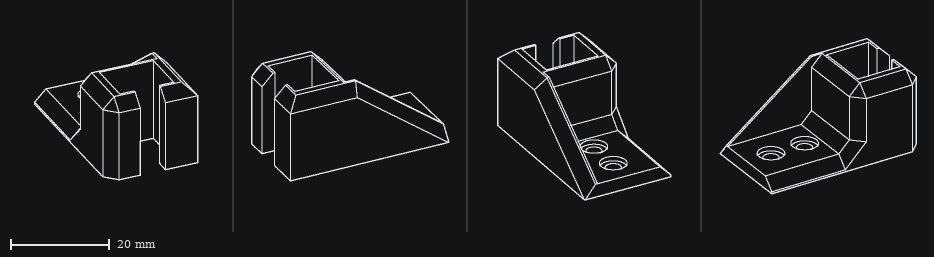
import cadquery as cq

length = 36.0
width = 20.0
height = 18.0
half_width = width / 2

base_thickness = 3.0
tower_front = 20.0
wall_inner_y = 7.0
bevel = 2.5

socket_start = 23.0
socket_length = 10.0
socket_width = 12.0
slot_width = 5.6

screw_positions = (6.0, 14.0)
screw_diameter = 3.3
head_diameter = 5.6
head_depth = 1.0


def extrude_profile(points, y_start, y_end):
    """Prism of an X-Z outline between two Y positions."""
    sketch = cq.Workplane("XZ", origin=(0, y_end, 0)).polyline(points).close()
    return sketch.extrude(y_end - y_start)


def edge_between(body, start, end):
    """The straight edge of the body that joins two points."""
    margin = 0.1
    low = [(a + b) / 2 - margin for a, b in zip(start, end)]
    high = [(a + b) / 2 + margin for a, b in zip(start, end)]
    return body.edges(cq.selectors.BoxSelector(low, high)).val()


def chamfer_edges(body, ends):
    """Bevel every edge named by its pair of end points."""
    edges = [edge_between(body, start, end) for start, end in ends]
    return body.newObject(edges).chamfer(bevel)


def foot_outline(inset):
    """X-Z outline of base plate and 45 degree foot ramp, with its upper side moved back by inset."""
    ramp_start = tower_front - bevel
    ramp_top = base_thickness + bevel
    return [
        (0, 0),
        (socket_start, 0),
        (socket_start, ramp_top),
        (tower_front + inset, ramp_top),
        (ramp_start, base_thickness - inset),
        (0, base_thickness - inset),
    ]


def make_foot():
    """Base plate and ramp up to the side wall, bevelled along the -Y side."""
    bevel_y = -half_width + bevel
    main = extrude_profile(foot_outline(0), bevel_y, wall_inner_y)
    bevelled_side = (
        cq.Workplane("XZ", origin=(0, bevel_y, 0))
        .polyline(foot_outline(0))
        .close()
        .workplane(offset=bevel)
        .polyline(foot_outline(bevel))
        .close()
        .loft(ruled=True)
    )
    return main.union(bevelled_side)


def make_tower():
    """Tower up to the side wall, bevelled around the top and down the two -Y corners."""
    outline = [(tower_front, 0), (length, 0), (length, height), (tower_front, height)]
    tower = extrude_profile(outline, -half_width, wall_inner_y)

    front_foot = (tower_front, -half_width, 0)
    front_top = (tower_front, -half_width, height)
    front_top_at_wall = (tower_front, wall_inner_y, height)
    back_foot = (length, -half_width, 0)
    back_top = (length, -half_width, height)
    back_top_at_wall = (length, wall_inner_y, height)
    return chamfer_edges(tower, [
        (front_foot, front_top),
        (back_foot, back_top),
        (front_top, back_top),
        (front_top, front_top_at_wall),
        (back_top, back_top_at_wall),
    ])


def make_side_wall():
    """Wall on the +Y side, sloping from the base end up to the tower top."""
    overrun = 10.0
    slope = (height - base_thickness) / tower_front
    slope_end_z = base_thickness - overrun * slope
    outline = [
        (-overrun, -overrun),
        (length, -overrun),
        (length, height),
        (tower_front, height),
        (-overrun, slope_end_z),
    ]
    wall = extrude_profile(outline, wall_inner_y, half_width)

    slope_end = (-overrun, half_width, slope_end_z)
    slope_top = (tower_front, half_width, height)
    back_top = (length, half_width, height)
    back_top_at_tower = (length, wall_inner_y, height)
    wall = chamfer_edges(wall, [
        (slope_end, slope_top),
        (slope_top, back_top),
        (back_top, back_top_at_tower),
    ])
    envelope = cq.Workplane("XY").box(length, width, height, centered=(False, True, False))
    return wall.intersect(envelope)


def make_socket():
    """Rectangular through socket together with its slot to the +X face."""
    socket = cq.Workplane("XY").box(
        socket_length, socket_width, height, centered=(False, True, False)
    )
    slot = cq.Workplane("XY").box(
        length - socket_start, slot_width, height, centered=(False, True, False)
    )
    return socket.union(slot).translate((socket_start, 0, 0))


def cut_screw_holes(body):
    """Counterbored screw holes, sunk from the top of the base plate."""
    return (
        body.copyWorkplane(cq.Workplane("XY", origin=(0, 0, base_thickness)))
        .pushPoints([(x, 0) for x in screw_positions])
        .cboreHole(screw_diameter, head_diameter, head_depth, base_thickness)
    )


part = make_foot().union(make_tower()).union(make_side_wall()).clean()
part = part.cut(make_socket())
result = cut_screw_holes(part)